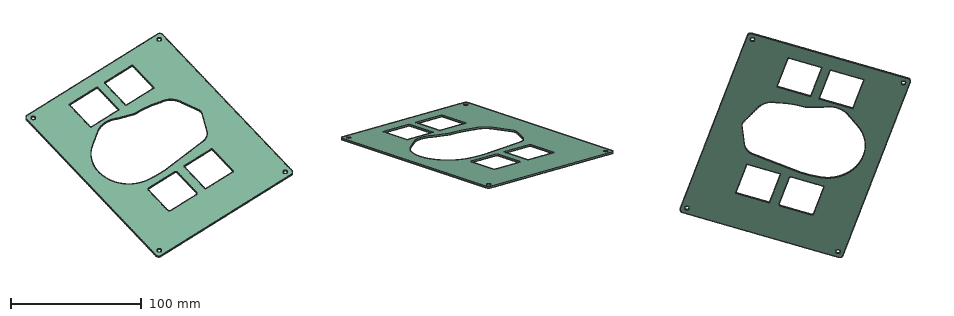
import cadquery as cq

PLATE_LENGTH = 167.74
PLATE_WIDTH = 131.43
PLATE_THICKNESS = 1.5
CORNER_RADIUS = 2.5

HOLE_DIAMETER = 3.4
HOLE_EDGE_OFFSET = 4.75

WINDOW_SIZE = 27.2
LEFT_WINDOW_X = -58.75
RIGHT_WINDOW_X = 41.05
UPPER_WINDOW_Y = 16.2
LOWER_LEFT_WINDOW_Y = -17.8
LOWER_RIGHT_WINDOW_Y = -18.7
LOWER_RIGHT_WINDOW_HEIGHT = 27.8
LOWER_RIGHT_WINDOW_RADIUS = 1.5

WAIST = (-35.0, 2.9)
LOBE_START = (-39.4, -9.8)
LOBE_MIDDLE = (-42.0, -19.5)
LOBE_END = (-39.8, -28.2)
BOWL_START = (-31.7, -39.7)
BOWL_BOTTOM = (-7.8, -52.4)
BOWL_END = (21.2, -25.0)
RIGHT_FLANK_MIDDLE = (21.8, -16.0)
RIGHT_FLANK_TOP = (21.0, -4.0)
RIGHT_SHOULDER_START = (18.0, 26.2)
RIGHT_SHOULDER_MIDDLE = (16.3, 32.7)
RIGHT_SHOULDER_END = (12.5, 36.7)
PEAK_START = (-3.0, 43.9)
PEAK = (-5.6, 44.5)
PEAK_END = (-8.4, 43.9)
LEFT_SHOULDER_START = (-22.2, 38.1)
LEFT_SHOULDER_MIDDLE = (-28.5, 33.7)
LEFT_SHOULDER_END = (-31.6, 26.2)
LEFT_FLANK_MIDDLE = (-34.4, 13.3)


def make_plate():
    """Flat plate with rounded corners, resting on Z = 0."""
    plate = cq.Workplane("XY").rect(PLATE_LENGTH, PLATE_WIDTH).extrude(PLATE_THICKNESS)
    return plate.edges("|Z").fillet(CORNER_RADIUS)


def make_mounting_holes():
    spacing_x = PLATE_LENGTH - 2 * HOLE_EDGE_OFFSET
    spacing_y = PLATE_WIDTH - 2 * HOLE_EDGE_OFFSET
    corners = cq.Workplane("XY").rect(spacing_x, spacing_y, forConstruction=True).vertices()
    return corners.circle(HOLE_DIAMETER / 2).extrude(PLATE_THICKNESS)


def make_window(x, y, height=WINDOW_SIZE):
    return cq.Workplane("XY").center(x, y).rect(WINDOW_SIZE, height).extrude(PLATE_THICKNESS)


def make_central_opening():
    """Pear-shaped opening, traced counter-clockwise from the waist."""
    outline = (
        cq.Workplane("XY")
        .moveTo(*WAIST)
        .lineTo(*LOBE_START)
        .threePointArc(LOBE_MIDDLE, LOBE_END)
        .lineTo(*BOWL_START)
        .threePointArc(BOWL_BOTTOM, BOWL_END)
        .threePointArc(RIGHT_FLANK_MIDDLE, RIGHT_FLANK_TOP)
        .lineTo(*RIGHT_SHOULDER_START)
        .threePointArc(RIGHT_SHOULDER_MIDDLE, RIGHT_SHOULDER_END)
        .lineTo(*PEAK_START)
        .threePointArc(PEAK, PEAK_END)
        .lineTo(*LEFT_SHOULDER_START)
        .threePointArc(LEFT_SHOULDER_MIDDLE, LEFT_SHOULDER_END)
        .threePointArc(LEFT_FLANK_MIDDLE, WAIST)
        .close()
    )
    return outline.extrude(PLATE_THICKNESS)


result = make_plate().cut(make_mounting_holes()).cut(make_central_opening())

SQUARE_WINDOW_CENTERS = [
    (LEFT_WINDOW_X, UPPER_WINDOW_Y),
    (LEFT_WINDOW_X, LOWER_LEFT_WINDOW_Y),
    (RIGHT_WINDOW_X, UPPER_WINDOW_Y),
]
for window_x, window_y in SQUARE_WINDOW_CENTERS:
    result = result.cut(make_window(window_x, window_y))

rounded_window = make_window(RIGHT_WINDOW_X, LOWER_RIGHT_WINDOW_Y, LOWER_RIGHT_WINDOW_HEIGHT)
result = result.cut(rounded_window.edges("|Z").fillet(LOWER_RIGHT_WINDOW_RADIUS))